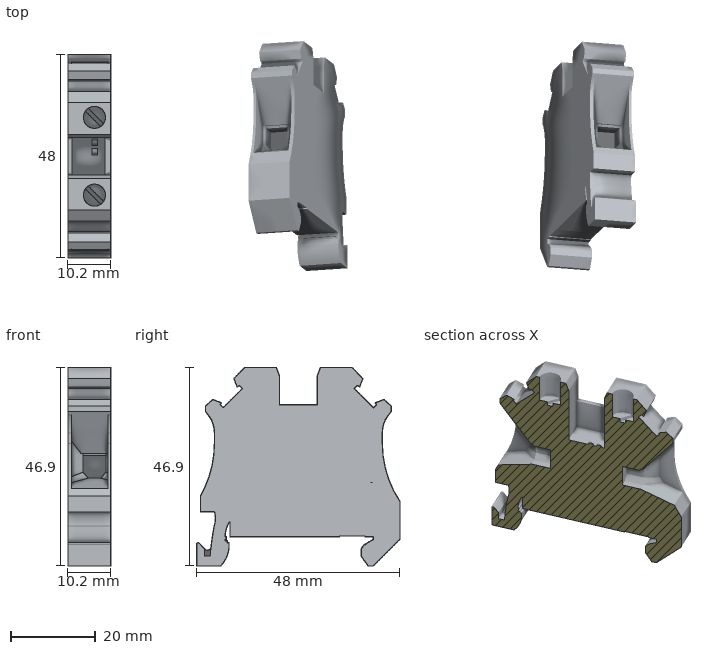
import cadquery as cq
import math

thickness = 10.15
half_thickness = thickness / 2
half_length = 24.0
height = 46.85

slot_half_width = 4.4
slot_floor_z = 38.05
well_depth = 7.7
well_x_min = -4.1
well_x_max = 3.75

waist_y = 19.8
lip_y = 21.95
lip_arc_y = 21.25
lip_arc_top_z = 35.6
waist_top_z = 31.45
lip_arc_run = lip_arc_y - waist_y
lip_arc_rise = lip_arc_top_z - waist_top_z
lip_slope = (lip_arc_rise ** 2 - lip_arc_run ** 2) / (2 * lip_arc_run * lip_arc_rise)
lip_bottom_z = lip_arc_top_z + lip_slope * (lip_y - lip_arc_y)
waist_bottom_z = 28.9
hook_flank_end = (half_length, 15.2)
spring_flank_end = (23.1, 16.55)
flank_bottom_z = 12.75

seat_z = 6.9
seat_spring_y = 16.2
seat_hook_y = 17.6
seat_relief_depth = 0.2
seat_relief_y_min = 9.7
seat_relief_y_max = 15.75

hook_nose = (14.8, 4.0)

arm_inner_y = -17.25

trough_inner = (-20.6, 4.4)
trough_outer = (-22.15, 4.15)
trough_floor_z = 2.4

screw_x = 1.2
screw_y = 9.15
screw_hole_radius = 2.6
screw_head_depth = 6.7
driver_slot_width = 0.95
driver_slot_depth = 0.95

funnel_x_min = -4.2
funnel_x_max = 4.4
funnel_bottom_y = 22.2
funnel_bottom_z = 18.3
funnel_throat_y = 13.75
funnel_ceiling_z = 26.6
box_floor_z = 20.75
box_top_z = 26.05
box_top_y = 13.5
box_x_min = -1.5
box_x_max = 3.9
box_chamfer_x = 1.2
box_chamfer_z = 1.4
box_end_y = screw_y

cover_x = funnel_x_min

catch_x = 1.25
catch_width = 1.25
catch_middle_y = 2.15
catch_inner_offset = 0.35
catch_round_offset = 1.55
catch_outer_offset = 1.85
catch_height = 0.6
catch_ramp_height = 0.3


def arc_middle(start, end, radius_center):
    """Point halfway along the shorter arc from start to end about a centre."""
    radius = math.dist(start, radius_center)
    chord_y = (start[0] + end[0]) / 2 - radius_center[0]
    chord_z = (start[1] + end[1]) / 2 - radius_center[1]
    reach = radius / math.hypot(chord_y, chord_z)
    return (radius_center[0] + chord_y * reach, radius_center[1] + chord_z * reach)


def waist_arc_middle(land_z, end):
    """Middle of an end-face arc that leaves the waist land tangentially at land_z."""
    rise = end[1] - land_z
    run = end[0] - waist_y
    radius = (rise ** 2 + run ** 2) / (2 * run)
    return arc_middle((waist_y, land_z), end, (waist_y + radius, land_z))


def through_thickness(outline, x_min=-half_thickness, x_max=half_thickness):
    """Extrude a closed YZ outline between two X positions."""
    return outline.close().extrude(x_max - x_min).translate((x_min, 0, 0))


def half_body(flank_end):
    """One half of the upper body, drawn on +Y, with its end face stopping at flank_end."""
    lip_arc_start = (lip_arc_y, lip_arc_top_z)
    outline = (
        cq.Workplane("YZ")
        .moveTo(0, seat_z)
        .lineTo(0, slot_floor_z)
        .lineTo(slot_half_width, slot_floor_z)
        .lineTo(slot_half_width, 44.85)
        .lineTo(5.2, height)
        .lineTo(12.65, height)
        .lineTo(15.2, 44.2)
        .lineTo(14.45, 42.2)
        .lineTo(13.9, 42.6)
        .lineTo(13.2, 41.85)
        .lineTo(17.7, 37.4)
        .lineTo(18.45, 38.05)
        .lineTo(18.1, 38.5)
        .lineTo(20.15, 39.3)
        .lineTo(lip_y, 37.75)
        .lineTo(lip_y, lip_bottom_z)
        .lineTo(*lip_arc_start)
        .threePointArc(waist_arc_middle(waist_top_z, lip_arc_start), (waist_y, waist_top_z))
        .lineTo(waist_y, waist_bottom_z)
        .threePointArc(waist_arc_middle(waist_bottom_z, flank_end), flank_end)
        .lineTo(flank_end[0], flank_bottom_z)
        .lineTo(seat_spring_y, flank_bottom_z)
        .lineTo(seat_spring_y, seat_z)
    )
    return through_thickness(outline)


def hook_crest(x, shoulder_z, bend):
    """Section of the hook crest at one X: a sloping shoulder rounded down to the nose."""
    nose_y, nose_z = hook_nose
    return (
        cq.Workplane("YZ", origin=(x, 0, 0))
        .moveTo(seat_hook_y, nose_z)
        .lineTo(seat_hook_y, shoulder_z)
        .lineTo(*bend)
        .threePointArc((bend[0] - 0.65, bend[1] - 0.55), hook_nose)
        .close()
        .wires()
        .val()
    )


def fixed_foot():
    """Rigid rail hook on the +Y side; its crest rises slightly toward +X."""
    outline = (
        cq.Workplane("YZ")
        .moveTo(seat_spring_y, flank_bottom_z)
        .lineTo(half_length, flank_bottom_z)
        .lineTo(half_length, 6.4)
        .lineTo(seat_hook_y, 0)
        .lineTo(16.45, 0)
        .lineTo(14.8, 2.35)
        .lineTo(*hook_nose)
        .lineTo(seat_hook_y, hook_nose[1])
        .lineTo(seat_hook_y, seat_z)
        .lineTo(seat_spring_y, seat_z)
    )
    low_end = hook_crest(-half_thickness, 5.7, (16.05, 5.2))
    high_end = hook_crest(half_thickness, 6.3, (15.95, 5.35))
    crest = cq.Solid.makeLoft([low_end, high_end], True)
    return through_thickness(outline).union(cq.Workplane(crest))


def spring_foot():
    """Flexible rail latch on the -Y side, with a release hook for a screwdriver."""
    outline = (
        cq.Workplane("YZ")
        .moveTo(-seat_spring_y, flank_bottom_z)
        .lineTo(-19.8, flank_bottom_z)
        .threePointArc((-19.6, 11.15), (-19.85, 9.45))
        .threePointArc((-20.4, 6.25), (-20.8, trough_floor_z))
        .lineTo(trough_outer[0], trough_floor_z)
        .lineTo(*trough_outer)
        .lineTo(-23.4, 5.4)
        .threePointArc((-23.6, 5.5), (-half_length, 5.15))
        .lineTo(-half_length, 0)
        .lineTo(-18.35, 0)
        .threePointArc((-16.95, 2.0), (-16.3, 4.3))
        .lineTo(-16.3, 5.55)
        .lineTo(arm_inner_y, 5.55)
        .lineTo(arm_inner_y, 7.45)
        .threePointArc((-16.95, 8.85), (-16.3, 10.25))
        .lineTo(-seat_spring_y, 10.45)
    )
    foot = through_thickness(outline)
    for step_y, step_bottom_z, step_top_z in ((-16.75, 5.55, 6.0), (-17.0, 6.3, 6.95)):
        step = (
            cq.Workplane("YZ")
            .moveTo(step_y, step_bottom_z)
            .lineTo(step_y, step_top_z)
            .lineTo(arm_inner_y, step_top_z)
            .lineTo(arm_inner_y, step_bottom_z)
        )
        foot = foot.union(through_thickness(step, x_min=cover_x))
    trough_web = (
        cq.Workplane("YZ")
        .moveTo(*trough_inner)
        .threePointArc((-21.3, 3.8), trough_outer)
        .lineTo(trough_outer[0], trough_floor_z)
        .lineTo(trough_inner[0], trough_floor_z)
    )
    return foot.union(through_thickness(trough_web, x_max=cover_x))


def spring_slit():
    """Rounded root of the spring slit, cut only in the -X wall."""
    outline = (
        cq.Workplane("YZ")
        .moveTo(-seat_spring_y, 7.95)
        .lineTo(-15.3, 10.15)
        .threePointArc((-15.85, 10.7), (-16.3, 10.25))
    )
    return through_thickness(outline, x_max=cover_x)


def seat_relief():
    """Shallow relief in the rail seat beside the fixed hook."""
    return cq.Workplane("XY").box(
        thickness, seat_relief_y_max - seat_relief_y_min, seat_relief_depth, centered=(True, False, False)
    ).translate((0, seat_relief_y_min, seat_z))


def center_well():
    """Deep well in the floor of the slot, leaving its two catches standing."""
    floor_z = slot_floor_z - well_depth
    well = cq.Workplane("XY").box(
        well_x_max - well_x_min, 2 * slot_half_width, well_depth, centered=(False, True, False)
    ).translate((well_x_min, 0, floor_z))
    for side in (-1, 1):
        inner_y = catch_middle_y + side * catch_inner_offset
        round_y = catch_middle_y + side * catch_round_offset
        outer_y = catch_middle_y + side * catch_outer_offset
        crown = ((inner_y + round_y) / 2, floor_z + catch_height)
        catch = (
            cq.Workplane("YZ")
            .moveTo(inner_y, floor_z)
            .threePointArc(crown, (round_y, floor_z + catch_ramp_height))
            .lineTo(outer_y, floor_z)
        )
        well = well.cut(through_thickness(catch, catch_x - catch_width / 2, catch_x + catch_width / 2))
    return well


def screw_access(side):
    """Screw hole ending at a slotted screw head; side is +1 or -1 along Y."""
    head_z = height - screw_head_depth
    hole = cq.Workplane("XY").circle(screw_hole_radius).extrude(screw_head_depth)
    driver_slot = (
        cq.Workplane("XY")
        .rect(2 * screw_hole_radius, driver_slot_width)
        .extrude(-driver_slot_depth)
        .rotate((0, 0, 0), (0, 0, 1), -45)
        .intersect(cq.Workplane("XY").circle(screw_hole_radius).extrude(-driver_slot_depth))
    )
    return hole.union(driver_slot).translate((screw_x, side * screw_y, head_z))


def throat_section(depth_y, spread):
    """Clamp box section at Y = -depth_y, every side but the top moved outward by spread."""
    side_turn = math.atan2(box_chamfer_x, box_chamfer_z)
    side_shift = spread * math.tan(side_turn / 2)
    floor_shift = spread * math.tan((math.pi / 2 - side_turn) / 2)
    left = box_x_min - spread
    right = box_x_max + spread
    side_z = box_floor_z + box_chamfer_z - side_shift
    bottom_z = box_floor_z - spread
    corners = [
        (left, lip_bottom_z),
        (left, side_z),
        (box_x_min + box_chamfer_x - floor_shift, bottom_z),
        (box_x_max - box_chamfer_x + floor_shift, bottom_z),
        (right, side_z),
        (right, lip_bottom_z),
    ]
    points = [cq.Vector(x, -depth_y, z) for x, z in corners]
    return cq.Wire.makePolygon(points, close=True)


def wire_funnel():
    """Wire entry on the -Y end: a flared mouth narrowing to the clamp box."""
    flare_length = half_length - funnel_throat_y
    throat = throat_section(funnel_throat_y, 0)
    flare = cq.Solid.makeLoft([throat, throat_section(half_length, flare_length)], True)
    clamp_box = cq.Solid.makeLoft([throat, throat_section(box_end_y, 0)], True)

    floor_slope = (box_floor_z - funnel_bottom_z) / (funnel_bottom_y - funnel_throat_y)
    mouth_floor_z = funnel_bottom_z - floor_slope * (half_length - funnel_bottom_y)
    ceiling_y = lip_y - (lip_bottom_z - funnel_ceiling_z) / lip_slope
    mouth_roof_z = lip_bottom_z + lip_slope * (half_length - lip_y)
    profile = (
        cq.Workplane("YZ")
        .moveTo(-half_length, mouth_floor_z)
        .lineTo(-funnel_throat_y, box_floor_z)
        .lineTo(-box_end_y, box_floor_z)
        .lineTo(-box_end_y, box_top_z)
        .lineTo(-box_top_y, box_top_z)
        .lineTo(-funnel_throat_y, funnel_ceiling_z)
        .lineTo(-ceiling_y, funnel_ceiling_z)
        .lineTo(-half_length, mouth_roof_z)
    )
    limits = through_thickness(profile, funnel_x_min, funnel_x_max)
    return cq.Workplane(flare).union(cq.Workplane(clamp_box)).intersect(limits)


body = half_body(hook_flank_end).union(half_body(spring_flank_end).mirror("XZ"))
body = body.union(fixed_foot()).union(spring_foot()).clean()
body = body.cut(spring_slit()).cut(seat_relief()).cut(center_well())
for side in (-1, 1):
    body = body.cut(screw_access(side))
funnel = wire_funnel()
result = body.cut(funnel).cut(funnel.mirror("XZ"))